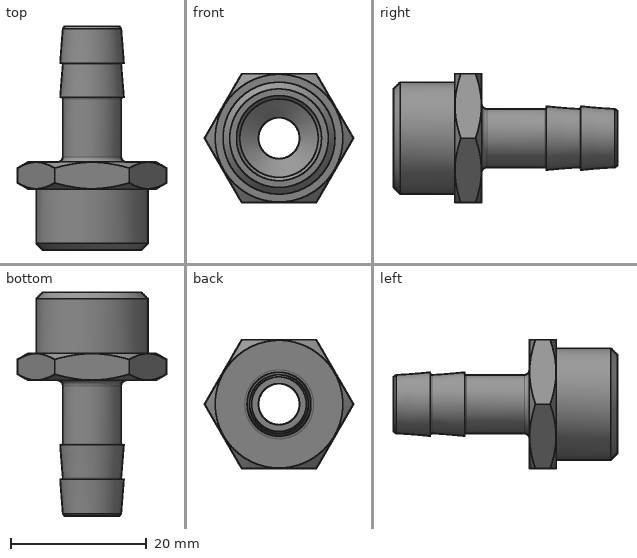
import cadquery as cq
import math

total_length = 33.0

thread_radius = 8.25
thread_length = 9.0
thread_chamfer = 1.0

hex_sides = 6
hex_across_flats = 19.0
hex_thickness = 4.0
hex_face_radius = 9.4
hex_chamfer_angle = 30.0
envelope_margin = 0.33

stem_radius = 4.32
root_fillet = 0.75
barb_radius = 4.72
barb_lip_distances = (5.45, 10.5)
barb_root_fillet = 0.2
tip_chamfer_length = 0.4
tip_chamfer_depth = 0.3

through_radius = 3.0
bore_radius = 5.78
bore_depth = 9.9
bore_chamfer = 0.5
drill_half_angle = 59.0

hex_back = thread_length + hex_thickness
hex_corner_radius = hex_across_flats / math.sqrt(3)
cone_length = (bore_radius - through_radius) / math.tan(math.radians(drill_half_angle))


def revolve_profile(profile):
    """Turn a closed (radius, Y) outline about the Y axis."""
    return profile.close().revolve(360, (0, 0, 0), (0, 1, 0))


def add_root_fillet(profile, start_radius, face_y, fillet, along):
    """Add a concave quarter arc from a flat face at face_y to a cylinder of start_radius - fillet.

    The arc runs toward +Y when along is 1 and toward -Y when along is -1.
    """
    reach = fillet * math.sqrt(0.5)
    center_y = face_y + along * fillet
    return profile.threePointArc(
        (start_radius - reach, center_y - along * reach),
        (start_radius - fillet, center_y),
    )


def make_thread():
    thread = (
        cq.Workplane("XY")
        .lineTo(thread_radius - thread_chamfer, 0)
        .lineTo(thread_radius, thread_chamfer)
        .lineTo(thread_radius, thread_length)
        .lineTo(0, thread_length)
    )
    return revolve_profile(thread)


def make_hex():
    """Hexagonal prism with its corners turned down by a cone at each face."""
    prism = (
        cq.Workplane("XZ", origin=(0, thread_length, 0))
        .polygon(hex_sides, 2 * hex_corner_radius)
        .extrude(-hex_thickness)
    )
    envelope_radius = hex_corner_radius + envelope_margin
    drop = (envelope_radius - hex_face_radius) * math.tan(math.radians(hex_chamfer_angle))
    envelope = (
        cq.Workplane("XY")
        .moveTo(0, thread_length)
        .lineTo(hex_face_radius, thread_length)
        .lineTo(envelope_radius, thread_length + drop)
        .lineTo(envelope_radius, hex_back - drop)
        .lineTo(hex_face_radius, hex_back)
        .lineTo(0, hex_back)
    )
    return prism.intersect(revolve_profile(envelope))


def make_stem():
    """Plain stem with a concave root fillet and a chamfered tip."""
    root_radius = stem_radius + root_fillet
    stem = cq.Workplane("XY").moveTo(0, hex_back).lineTo(root_radius, hex_back)
    stem = (
        add_root_fillet(stem, root_radius, hex_back, root_fillet, 1)
        .lineTo(stem_radius, total_length - tip_chamfer_length)
        .lineTo(stem_radius - tip_chamfer_depth, total_length)
        .lineTo(0, total_length)
    )
    return revolve_profile(stem)


def make_barb(tip_y, lip_y):
    """Cone widening toward the hexagon, with a square lip and a small fillet behind it."""
    root_radius = stem_radius + barb_root_fillet
    barb = (
        cq.Workplane("XY")
        .moveTo(0, tip_y)
        .lineTo(stem_radius, tip_y)
        .lineTo(barb_radius, lip_y)
        .lineTo(root_radius, lip_y)
    )
    barb = add_root_fillet(barb, root_radius, lip_y, barb_root_fillet, -1)
    return revolve_profile(barb.lineTo(0, lip_y - barb_root_fillet))


def make_bore():
    bore = (
        cq.Workplane("XY")
        .lineTo(bore_radius + bore_chamfer, 0)
        .lineTo(bore_radius, bore_chamfer)
        .lineTo(bore_radius, bore_depth)
        .lineTo(through_radius, bore_depth + cone_length)
        .lineTo(through_radius, total_length)
        .lineTo(0, total_length)
    )
    return revolve_profile(bore)


body = make_thread().union(make_hex()).union(make_stem())
barb_tip_y = total_length - tip_chamfer_length
for lip_distance in barb_lip_distances:
    barb_lip_y = total_length - lip_distance
    body = body.union(make_barb(barb_tip_y, barb_lip_y))
    barb_tip_y = barb_lip_y - barb_root_fillet
result = body.cut(make_bore())